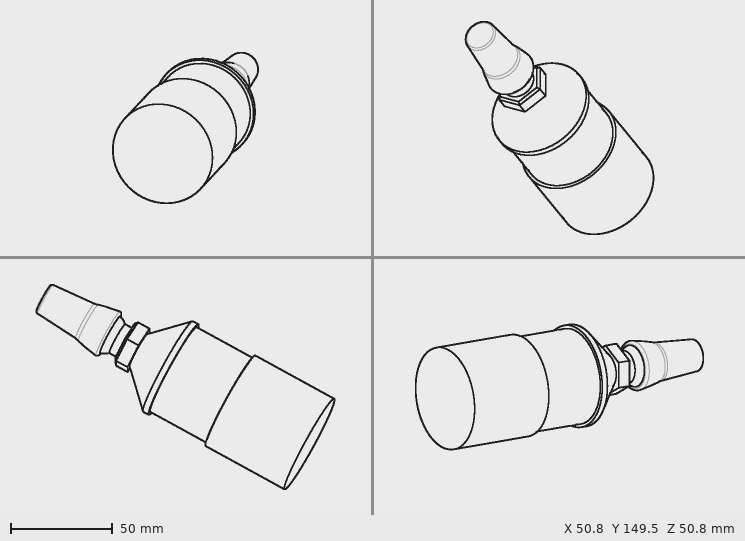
import cadquery as cq
import math

sleeve_end = 44.4
collar_start = 76.4
collar_end = 79.5
nut_start = 96.1
nut_end = 103.7
ball_start = 108.0
bell_start = 112.1
bell_end = 124.5
boot_start = 126.3
total_length = 149.5

sleeve_radius = 50.8 / 2
barrel_radius = 47.5 / 2
shoulder_tip_radius = 9.1

nut_across_flats = 22.1
nut_chamfer = 1.2

neck_radius = 16.3 / 2
ball_radius = 10.8
bell_rim_radius = 12.4
bell_rim_rounding = 1.3
bell_mid_radius = 11.5
bell_tip_radius = 10.2
blend_mid_radius = 9.9
boot_base_radius = 9.7
boot_tip_radius = 8.0
boot_tip_rounding = 0.9


def make_body():
    """Sleeve, barrel, collar and conical shoulder, ending at the nut."""
    return (
        cq.Workplane("XY")
        .moveTo(0, 0)
        .lineTo(sleeve_radius, 0)
        .lineTo(sleeve_radius, sleeve_end)
        .lineTo(barrel_radius, sleeve_end)
        .lineTo(barrel_radius, collar_start)
        .lineTo(sleeve_radius, collar_start)
        .lineTo(sleeve_radius, collar_end)
        .lineTo(shoulder_tip_radius, nut_start)
        .lineTo(0, nut_start)
        .close()
        .revolve(360, (0, 0, 0), (0, 1, 0))
    )


def make_nut():
    """Hexagonal nut with its far edges chamfered."""
    across_corners = nut_across_flats / math.cos(math.pi / 6)
    return (
        cq.Workplane("XZ", origin=(0, nut_start, 0))
        .transformed(rotate=(0, 0, 90))
        .polygon(6, across_corners)
        .extrude(nut_start - nut_end)
        .faces(">Y")
        .chamfer(nut_chamfer)
    )


def make_neck_and_boot():
    """Neck, ball seat, bulging bell and tapered boot as one turned shape."""
    ball_center = ball_start + math.sqrt(ball_radius**2 - neck_radius**2)
    ball_edge_radius = math.sqrt(ball_radius**2 - (ball_center - bell_start) ** 2)
    ball_mid = (ball_start + bell_start) / 2
    ball_mid_radius = math.sqrt(ball_radius**2 - (ball_center - ball_mid) ** 2)

    rim_top = bell_start + bell_rim_rounding
    rim_inset = bell_rim_rounding * (1 - math.sqrt(0.5))
    bell_mid = (rim_top + bell_end) / 2
    blend_mid = (bell_end + boot_start) / 2
    tip_start = total_length - boot_tip_rounding
    tip_inset = boot_tip_rounding * (1 - math.sqrt(0.5))

    return (
        cq.Workplane("XY")
        .moveTo(0, nut_end)
        .lineTo(neck_radius, nut_end)
        .lineTo(neck_radius, ball_start)
        .threePointArc((ball_mid_radius, ball_mid), (ball_edge_radius, bell_start))
        .lineTo(bell_rim_radius - bell_rim_rounding, bell_start)
        .threePointArc(
            (bell_rim_radius - rim_inset, bell_start + rim_inset),
            (bell_rim_radius, rim_top),
        )
        .threePointArc((bell_mid_radius, bell_mid), (bell_tip_radius, bell_end))
        .threePointArc((blend_mid_radius, blend_mid), (boot_base_radius, boot_start))
        .lineTo(boot_tip_radius, tip_start)
        .threePointArc(
            (boot_tip_radius - tip_inset, total_length - tip_inset),
            (boot_tip_radius - boot_tip_rounding, total_length),
        )
        .lineTo(0, total_length)
        .close()
        .revolve(360, (0, 0, 0), (0, 1, 0))
    )


result = make_body().union(make_nut()).union(make_neck_and_boot())